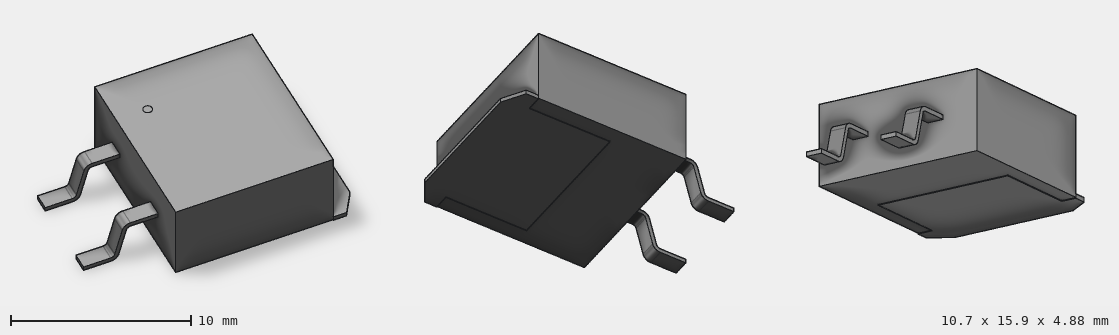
import cadquery as cq
import math

width = 10.67
total_length = 15.88
total_height = 4.88

housing_length = 9.65
standoff = 0.05

tab_thickness = 0.27
tab_overhang = 1.65
tab_corner_x = 1.35
tab_corner_y = 0.84
pad_length = 5.27
pad_side_margin = 0.95

lead_width = 1.02
lead_pitch = 5.05
lead_thickness = 0.27
lead_rise = 2.55
shoulder_length = 1.7
bend_inner_radius = 0.25
bend_angle = math.radians(75)
lead_reach = total_length - housing_length - tab_overhang

marker_diameter = 0.54
marker_depth = 0.1
marker_x = -lead_pitch / 2
marker_y = 1.94


def make_tab():
    """Full-width tongue with cut corners, narrowing to a pad under the housing."""
    half = width / 2
    pad_half = half - pad_side_margin
    back = housing_length + tab_overhang
    return (
        cq.Workplane("XY")
        .moveTo(-pad_half, housing_length - pad_length)
        .lineTo(pad_half, housing_length - pad_length)
        .lineTo(pad_half, housing_length)
        .lineTo(half, housing_length)
        .lineTo(half, back - tab_corner_y)
        .lineTo(half - tab_corner_x, back)
        .lineTo(-half + tab_corner_x, back)
        .lineTo(-half, back - tab_corner_y)
        .lineTo(-half, housing_length)
        .lineTo(-pad_half, housing_length)
        .close()
        .extrude(tab_thickness)
    )


def make_marker():
    return (
        cq.Workplane("XY", origin=(marker_x, marker_y, total_height - marker_depth))
        .circle(marker_diameter / 2)
        .extrude(marker_depth)
    )


def make_housing(tab, marker):
    """Plain block with recesses that fit the tab and the marker."""
    block = cq.Workplane("XY", origin=(0, 0, standoff)).box(
        width, housing_length, total_height - standoff, centered=(True, False, False)
    )
    return block.cut(tab).cut(marker)


def make_lead(x):
    """Gull-wing strip: its centreline is swept flat, down through two bends, then flat."""
    radius = bend_inner_radius + lead_thickness / 2
    sine = math.sin(bend_angle)
    cosine = math.cos(bend_angle)
    half_sine = math.sin(bend_angle / 2)
    half_cosine = math.cos(bend_angle / 2)

    top = standoff + lead_rise - lead_thickness / 2
    bottom = standoff + lead_thickness / 2
    bend_drop = radius * (1 - cosine)
    leg_run = (top - bottom - 2 * bend_drop) / math.tan(bend_angle)
    bend_start = -shoulder_length
    leg_start = bend_start - radius * sine
    leg_end = leg_start - leg_run
    foot_start = leg_end - radius * sine

    path = (
        cq.Workplane("YZ", origin=(x, 0, 0))
        .moveTo(0, top)
        .lineTo(bend_start, top)
        .threePointArc(
            (bend_start - radius * half_sine, top - radius * (1 - half_cosine)),
            (leg_start, top - bend_drop),
        )
        .lineTo(leg_end, bottom + bend_drop)
        .threePointArc(
            (foot_start + radius * half_sine, bottom + radius * (1 - half_cosine)),
            (foot_start, bottom),
        )
        .lineTo(-lead_reach, bottom)
    )
    return (
        cq.Workplane("XZ", origin=(x, 0, top))
        .rect(lead_width, lead_thickness)
        .sweep(path)
    )


tab = make_tab()
marker = make_marker()
housing = make_housing(tab, marker)
leads = [make_lead(side * lead_pitch / 2) for side in (-1, 1)]

result = cq.Compound.makeCompound(
    [housing.val(), tab.val(), marker.val(), *[lead.val() for lead in leads]]
)